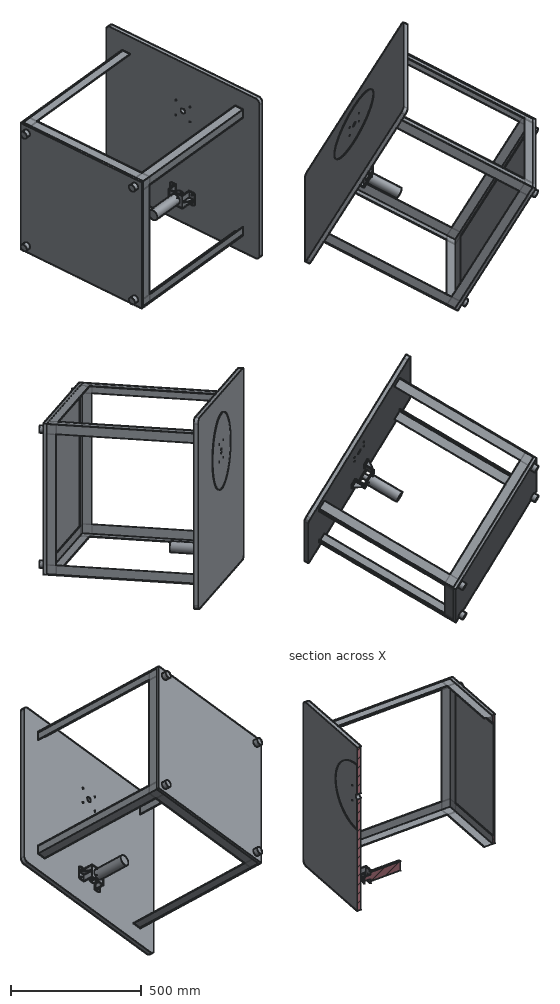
import cadquery as cq


top_size = 760.0
top_thickness = 18.0
top_corner_radius = 20.0
top_inner_y = -top_thickness

disc_diameter = 300.0
disc_thickness = 3.0
disc_center_z = 150.0
axle_hole_diameter = 22.0
screw_hole_diameter = 5.0
screw_hole_spacing = 70.0

frame_size = 600.0
angle_width = 40.0
angle_thickness = 3.0
frame_depth = 600.0
panel_thickness = 10.0
foot_diameter = 30.0
foot_height = 20.0
foot_inset = 32.0
panel_back_y = top_inner_y - frame_depth
panel_front_y = panel_back_y - panel_thickness
rail_back_y = panel_back_y + angle_width
leg_length = frame_depth - angle_width
rail_length = frame_size - 2 * angle_width

motor_z = -243.0
bracket_height = 60.0
bracket_depth = 45.0
bracket_inner_width = 62.0
bracket_outer_width = 122.0
sheet = 4.0
flange_corner_radius = 8.0
rib_thickness = 4.0
rib_tip = 3.0
flange_hole_diameter = 5.0
flange_hole_spacing = 36.0
web_width = bracket_inner_width + 2 * sheet
flange_width = (bracket_outer_width - web_width) / 2
web_front_y = top_inner_y - bracket_depth
web_back_y = web_front_y + sheet
flange_front_y = top_inner_y - sheet

motor_diameter = 44.5
motor_length = 134.0
hub_diameter = 22.0
hub_length = 24.0
wheel_diameter = 44.5
wheel_thickness = 3.0
motor_hole_diameter = 2.0
motor_hole_depth = 5.0
motor_hole_setback = 6.0
motor_hole_angles = [45, 135, 225, 315]
wheel_back_y = web_back_y + hub_length + wheel_thickness


def box(x_size, y_size, z_size, x, y_back, z):
    """Block centred on x and z that runs from y_back toward -Y."""
    return cq.Workplane("XY").box(x_size, y_size, z_size).translate((x, y_back - y_size / 2, z))


def rod(diameter, length, x, y_back, z):
    """Cylinder along Y that runs from y_back toward -Y."""
    return cq.Workplane("XZ", origin=(x, y_back, z)).circle(diameter / 2).extrude(length)


def turned(shape, angle):
    """Copy of the shape turned about the Y axis."""
    return shape.rotate((0, 0, 0), (0, 1, 0), angle)


def make_table_top():
    top = box(top_size, top_thickness, top_size, 0, 0, 0).edges("|Y").fillet(top_corner_radius)
    top = top.cut(rod(axle_hole_diameter, top_thickness, 0, 0, disc_center_z))
    for side in (-1, 1):
        for level in (-1, 1):
            x = side * screw_hole_spacing / 2
            z = disc_center_z + level * screw_hole_spacing / 2
            top = top.cut(rod(screw_hole_diameter, top_thickness, x, 0, z))
    return top


def make_disc():
    return rod(disc_diameter, disc_thickness, 0, disc_thickness, disc_center_z)


def make_angle_walls(length, y_back):
    """The two flanges of an angle bar along Y, with its heel on the +X +Z edge of the frame."""
    heel = frame_size / 2 - angle_thickness / 2
    middle = frame_size / 2 - angle_width / 2
    side_flange = box(angle_thickness, length, angle_width, heel, y_back, middle)
    upper_flange = box(angle_width, length, angle_thickness, middle, y_back, heel)
    return side_flange.union(upper_flange)


def make_corner():
    """End of the +X +Z leg, closed by a square plate on the base panel."""
    middle = frame_size / 2 - angle_width / 2
    plate = box(
        angle_width, angle_thickness, angle_width, middle, panel_back_y + angle_thickness, middle
    )
    return make_angle_walls(angle_width, rail_back_y).union(plate)


def make_rail():
    """Angle bar along the +Z edge: one flange on the outside, the other against the base panel."""
    outer_z = frame_size / 2 - angle_thickness / 2
    outer_flange = box(rail_length, angle_width, angle_thickness, 0, rail_back_y, outer_z)
    inner_z = frame_size / 2 - angle_width / 2
    inner_back_y = panel_back_y + angle_thickness
    inner_flange = box(rail_length, angle_thickness, angle_width, 0, inner_back_y, inner_z)
    return outer_flange.union(inner_flange)


def make_frame():
    base = box(frame_size, panel_thickness, frame_size, 0, panel_back_y, 0)
    foot_center = frame_size / 2 - foot_inset
    foot = rod(foot_diameter, foot_height, foot_center, panel_front_y, foot_center)
    corner = make_corner()
    quarter_turns = [0, 90, 180, 270]
    for angle in quarter_turns:
        base = base.union(turned(corner, angle)).union(turned(foot, angle))
    frame = base
    rail = make_rail()
    leg = make_angle_walls(leg_length, top_inner_y)
    for angle in quarter_turns:
        frame = frame.union(turned(rail, angle), clean=False)
        frame = frame.union(turned(leg, angle), clean=False)
    return frame


def make_bracket_side(side):
    """Wall, flange and rib on one side of the bracket."""
    wall_x = side * (bracket_inner_width + sheet) / 2
    wall = box(sheet, bracket_depth, bracket_height, wall_x, top_inner_y, motor_z)
    flange_x = side * (web_width + flange_width) / 2
    flange = box(flange_width, sheet, bracket_height, flange_x, top_inner_y, motor_z)
    flange = flange.edges("|Y").edges(">X" if side > 0 else "<X").fillet(flange_corner_radius)
    for level in (-1, 1):
        hole_z = motor_z + level * flange_hole_spacing / 2
        flange = flange.cut(rod(flange_hole_diameter, sheet, flange_x, top_inner_y, hole_z))
    rib = (
        cq.Workplane("XY", origin=(0, 0, motor_z))
        .polyline(
            [
                (side * web_width / 2, flange_front_y),
                (side * bracket_outer_width / 2, flange_front_y),
                (side * bracket_outer_width / 2, flange_front_y - rib_tip),
                (side * web_width / 2, web_front_y),
            ]
        )
        .close()
        .extrude(rib_thickness / 2, both=True)
    )
    return wall.union(flange).union(rib)


def make_bracket():
    bracket = box(web_width, sheet, bracket_height, 0, web_back_y, motor_z)
    for side in (-1, 1):
        bracket = bracket.union(make_bracket_side(side))
    return bracket.cut(rod(hub_diameter, sheet, 0, web_back_y, motor_z))


def make_motor():
    motor = rod(motor_diameter, motor_length, 0, web_front_y, motor_z)
    hub_back_y = web_back_y + hub_length
    motor = motor.union(rod(hub_diameter, hub_length + sheet, 0, hub_back_y, motor_z))
    motor = motor.union(rod(wheel_diameter, wheel_thickness, 0, wheel_back_y, motor_z))
    hole_y = web_front_y - motor_hole_setback
    hole = (
        cq.Workplane("XY", origin=(0, hole_y, motor_diameter / 2 - motor_hole_depth))
        .circle(motor_hole_diameter / 2)
        .extrude(2 * motor_hole_depth)
    )
    for angle in motor_hole_angles:
        motor = motor.cut(turned(hole, angle).translate((0, 0, motor_z)))
    return motor


table_top = make_table_top()
disc = make_disc()
frame = make_frame()
bracket = make_bracket()
motor = make_motor()

result = cq.Compound.makeCompound(
    [table_top.val(), disc.val(), frame.val(), bracket.val(), motor.val()]
)